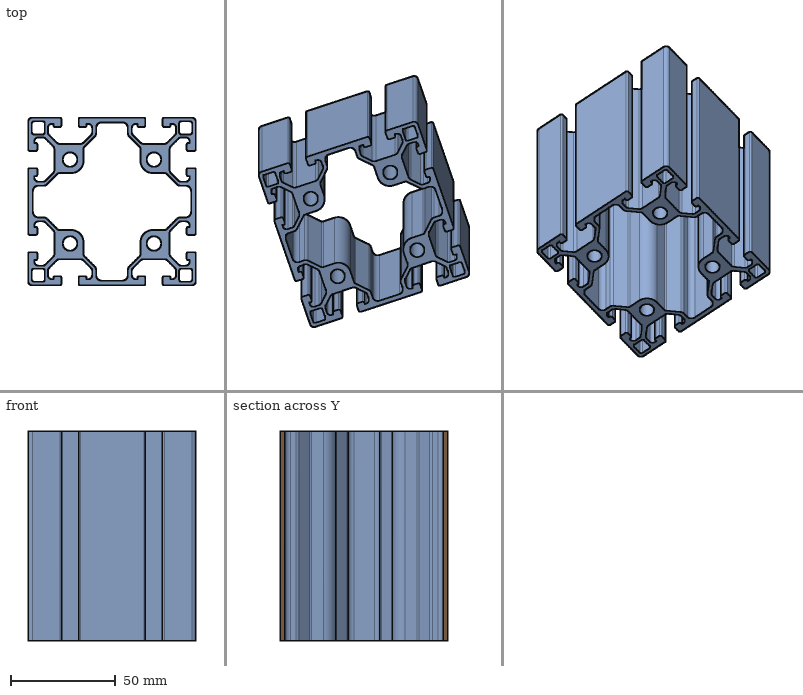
import cadquery as cq
import math

side = 80.0
length = 100.0
module = side / 2
half_side = side / 2
corner_radius = 2.0

slot_opening = 8.1
slot_depth = 12.5
slot_width = 21.0
slot_floor_width = 11.6
lip_depth = 4.5
lip_width = 3.9
undercut_depth = 3.05
lip_radius = 0.9
undercut_radius = 1.8
slot_side_radius = 1.8
slot_floor_radius = 2.3
clearance = 1.0

bore_diameter = 6.8
core_reach = 6.5
core_radius = 6.0

outer_wall = 2.35
web = 1.8
neck_wall = 2.0
cavity_radius = 2.5
web_bend_radius = 2.25
web_foot_radius = 1.3

chamber_wall = 1.85
chamber_size = 6.1
chamber_radius = 0.9


def rounded_prism(corners):
    """Prism over a closed outline of (x, y, radius) corners, each rounded by its radius."""
    stretches = []
    for index, (x, y, radius) in enumerate(corners):
        corner = cq.Vector(x, y)
        before = cq.Vector(*corners[index - 1][:2])
        after = cq.Vector(*corners[(index + 1) % len(corners)][:2])
        back = (before - corner).normalized()
        ahead = (after - corner).normalized()
        if radius == 0:
            stretches.append((corner, corner, corner))
            continue
        half_angle = back.getAngle(ahead) / 2
        setback = radius / math.tan(half_angle)
        middle_gap = radius / math.sin(half_angle) - radius
        middle = corner + (back + ahead).normalized() * middle_gap
        stretches.append((corner + back * setback, middle, corner + ahead * setback))

    outline = cq.Workplane("XY").moveTo(*stretches[0][2].toTuple()[:2])
    for start, middle, end in stretches[1:] + stretches[:1]:
        outline = outline.lineTo(start.x, start.y)
        if start != end:
            outline = outline.threePointArc((middle.x, middle.y), (end.x, end.y))
    return outline.close().extrude(length)


def make_slot():
    """T-slot void of the +Y face, centred on X = 0."""
    mouth = slot_opening / 2
    lip_back = mouth + lip_width
    wall = slot_width / 2
    floor = slot_floor_width / 2
    bend_depth = slot_depth - (wall - floor)
    right_half = [
        (mouth + clearance, half_side + clearance, 0),
        (mouth + clearance, half_side, 0),
        (mouth, half_side, lip_radius),
        (mouth, half_side - lip_depth, lip_radius),
        (lip_back, half_side - lip_depth, lip_radius),
        (lip_back, half_side - undercut_depth, 0),
        (wall, half_side - undercut_depth, undercut_radius),
        (wall, half_side - bend_depth, slot_side_radius),
        (floor, half_side - slot_depth, slot_floor_radius),
    ]
    left_half = [(-x, y, radius) for x, y, radius in reversed(right_half)]
    return rounded_prism(right_half + left_half)


def make_cavity():
    """Central void, bounded by the outer walls, the webs beside the slots and the cores."""
    top = half_side - outer_wall
    neck = module / 2 - slot_width / 2 - neck_wall
    core = module / 2 - core_reach
    slot_side_sum = (module / 2 - slot_floor_width / 2) + (half_side - slot_depth)
    web_sum = slot_side_sum - web * math.sqrt(2)
    bend = web_sum - neck
    web_foot = web_sum - core
    quarter = [
        (neck, top, cavity_radius),
        (neck, bend, web_bend_radius),
        (core, web_foot, web_foot_radius),
        (core, core, core_radius),
        (web_foot, core, web_foot_radius),
        (bend, neck, web_bend_radius),
        (top, neck, cavity_radius),
    ]
    right = quarter + [(x, -y, radius) for x, y, radius in reversed(quarter)]
    left = [(-x, y, radius) for x, y, radius in reversed(right)]
    return rounded_prism(right + left)


def make_chambers():
    """Square voids in the four outer corners."""
    spacing = side - 2 * chamber_wall - chamber_size
    chambers = cq.Workplane("XY").rarray(spacing, spacing, 2, 2).rect(chamber_size, chamber_size)
    return chambers.extrude(length).edges("|Z").fillet(chamber_radius)


def make_bores():
    """Through bores at the four module centres."""
    return cq.Workplane("XY").rarray(module, module, 2, 2).circle(bore_diameter / 2).extrude(length)


profile = cq.Workplane("XY").rect(side, side).extrude(length).edges("|Z").fillet(corner_radius)
profile = profile.cut(make_cavity()).cut(make_chambers()).cut(make_bores())

slot = make_slot()
for face_angle in (0, 90, 180, 270):
    for slot_place in (-module / 2, module / 2):
        placed_slot = slot.translate((slot_place, 0, 0)).rotate((0, 0, 0), (0, 0, 1), face_angle)
        profile = profile.cut(placed_slot)

result = profile